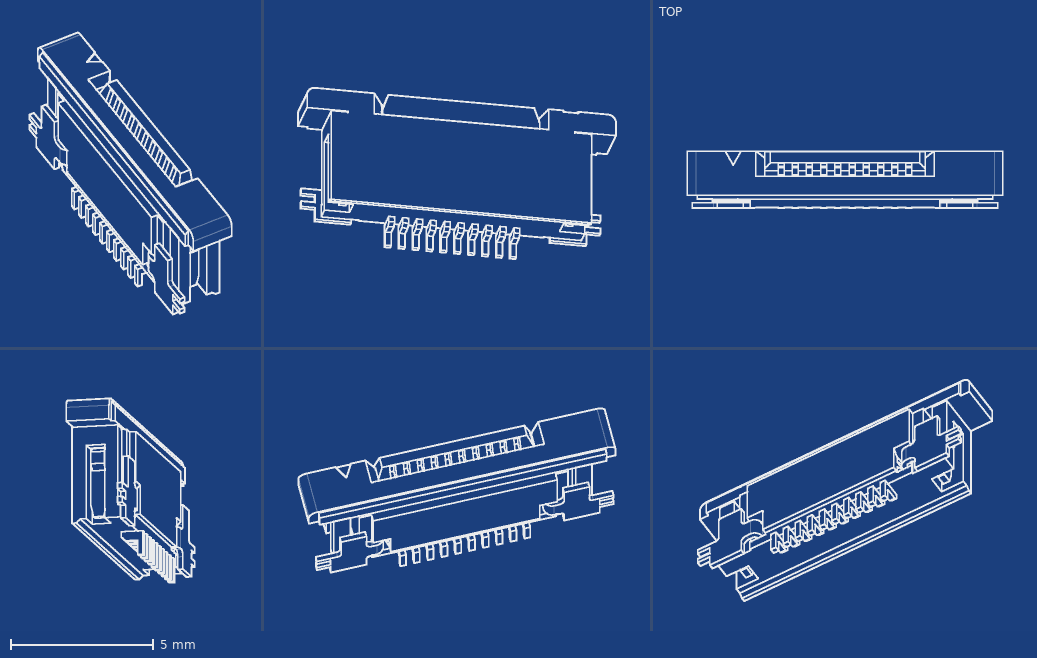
import cadquery as cq

LENGTH = 11.1
DEPTH = 2
HEIGHT = 5

BAR_BOTTOM = 4.2
BAR_FRONT = 0.44
BAR_END_RADIUS = 0.3
LIP_HALF_LENGTH = 5.2
LIP_FRONT = 0.31
LIP_TOP = 4.9
LIP_CHAMFER = BAR_FRONT - LIP_FRONT

MOUTH_HALF_LENGTH = 3.13
MOUTH_FRONT = 1.11
MOUTH_FLOOR = BAR_BOTTOM
MOUTH_TAPER = 0.31
MOUTH_TAPER_DEPTH = 0.31
MOUTH_REAR_CORNER = 0.23
TONGUE_HALF_LENGTH = 2.62
TONGUE_FRONT = 1.59
TONGUE_BACK = 1.98
TONGUE_SLOPE = 0.28

MARK_X = -3.93
MARK_HALF_WIDTH = 0.28
MARK_LENGTH = 0.49
MARK_DEPTH = 0.05

HOUSING_HALF_LENGTH = 4.67
HOUSING_FRONT = 0.24
HOUSING_BOTTOM = 0.84
BACK_FOOT_BOTTOM = 0.71
BACK_FOOT_FLAT = 1.84
BACK_FOOT_START = 1.7
PILLAR_INNER = 4.07
PILLAR_FRONT = 0.34
PILLAR_BOTTOM = 1.3
PILLAR_GAP = 0.03
CORE_HALF_LENGTH = 3.77

PLATE_HALF_LENGTH = 3.33
PLATE_FRONT = 0.01
BAND_FRONT = 0.19
BAND_TOP = 1.35

SLOT_FRONT = 0.81
SLOT_BACK = 1.48
SLOT_TOP = 3.49
ARM_OUTER = 4.2
ARM_INNER = 3.94
ARM_FRONT = 0.87
ARM_BACK = 1.43
ARM_BOTTOM = 1.01
ARM_TAPER_TOP = 1.42
ARM_TAPER = 0.1
HOOK_FRONT = 0.91
HOOK_BACK = 1.39
HOOK_REACH = 0.17
HOOK_BOTTOM = 2.66
HOOK_BOTTOM_FLAT = 2.89
HOOK_TOP_FLAT = 3.31
HOOK_TOP = 3.46

POCKET_INNER = 2.7
POCKET_BOTTOM = 1.25
POCKET_TOP = 2.42
POCKET_DEPTH = 0.5
POCKET_SHALLOW = 0.25
POCKET_SLANT = 0.14
LEG_END = 1
LEG_SLOT_BOTTOM = 1.63
LEG_SLOT_TOP = 1.9

METAL = 0.19
TAB_OUTER = 4.87
TAB_UPPER_OUTER = 4.5
TAB_INNER = 3.57
TAB_BOTTOM = 0.75
TAB_TOP = 3.06
PRONG_TIP = 5.37
PRONG_WIDTH = 0.21
PRONG_LOWER = 1.21
PRONG_UPPER = 1.71
PRONG_FILLET = 0.13
WEB_BOTTOM = 1.42
WEB_TOP = 2.15
WEB_FILLET = 0.21
LEG_INNER = 2.9
LEG_BEND_RADIUS = 0.31

CONTACTS = 10
PITCH = 0.5
TAIL_WIDTH = 0.21
TAIL_SHOULDER = 0.51
TAIL_BACK = 0.78
TAIL_CHAMFER = 0.13
CONTACT_SLOT_WIDTH = 0.21
CONTACT_SLOT_FRONT = 1.17
CONTACT_SLOT_BACK = 1.83
CONTACT_SLOT_ROOF = 4.95
CONTACT_SLOT_FLOOR = 3.55
TIP_FRONT = 1.41
TIP_STEP = 1.48
TIP_TOP = 4
TIP_STEP_HEIGHT = 0.05

contact_places = [(i - (CONTACTS - 1) / 2) * PITCH for i in range(CONTACTS)]


def block(x0, x1, y0, y1, z0, z1):
    """Box between two opposite corners."""
    return cq.Workplane("XY").box(x1 - x0, y1 - y0, z1 - z0, centered=False).translate((x0, y0, z0))


def extrude_along_x(points, x0, x1):
    """Extrude a (Y, Z) outline from x0 to x1."""
    return cq.Workplane("YZ").polyline(points).close().extrude(x1 - x0).translate((x0, 0, 0))


def extrude_along_y(points, y0, y1):
    """Extrude an (X, Z) outline from y0 to y1."""
    return cq.Workplane("XZ").polyline(points).close().extrude(y0 - y1).translate((0, y0, 0))


def extrude_along_z(points, z0, z1):
    """Extrude an (X, Y) outline from z0 to z1."""
    return cq.Workplane("XY").polyline(points).close().extrude(z1 - z0).translate((0, 0, z0))


def on_both_ends(shape):
    """Join a shape of the -X end with its mirror image at the +X end."""
    return shape.union(shape.mirror("YZ"))


def make_bar():
    half = LENGTH / 2
    bar = block(-half, half, BAR_FRONT, DEPTH, BAR_BOTTOM, HEIGHT)
    bar = bar.edges("|Y and >Z").fillet(BAR_END_RADIUS)
    lip = [
        (BAR_FRONT, BAR_BOTTOM),
        (LIP_FRONT, BAR_BOTTOM),
        (LIP_FRONT, LIP_TOP - LIP_CHAMFER),
        (BAR_FRONT, LIP_TOP),
    ]
    bar = bar.union(extrude_along_x(lip, -LIP_HALF_LENGTH, LIP_HALF_LENGTH))
    mark = [
        (MARK_X - MARK_HALF_WIDTH, DEPTH),
        (MARK_X + MARK_HALF_WIDTH, DEPTH),
        (MARK_X, DEPTH - MARK_LENGTH),
    ]
    return bar.cut(extrude_along_z(mark, HEIGHT - MARK_DEPTH, HEIGHT))


def make_mouth():
    """Opening with ramped ends, open at the back where its corners are cut away."""
    throat = MOUTH_HALF_LENGTH - MOUTH_TAPER
    ramp_bottom = HEIGHT - MOUTH_TAPER_DEPTH
    outline = [
        (-MOUTH_HALF_LENGTH, HEIGHT),
        (-throat, ramp_bottom),
        (-throat, MOUTH_FLOOR),
        (throat, MOUTH_FLOOR),
        (throat, ramp_bottom),
        (MOUTH_HALF_LENGTH, HEIGHT),
    ]
    corner = [
        (-MOUTH_HALF_LENGTH, DEPTH),
        (-throat, DEPTH - MOUTH_REAR_CORNER),
        (-throat, DEPTH),
    ]
    mouth = extrude_along_y(outline, MOUTH_FRONT, DEPTH)
    return mouth.union(on_both_ends(extrude_along_z(corner, MOUTH_FLOOR, HEIGHT)))


def make_tongue():
    """Tongue behind the cable, with sloping front and ends."""
    foot_half = MOUTH_HALF_LENGTH - MOUTH_TAPER
    end_drop = (foot_half - TONGUE_HALF_LENGTH) * (HEIGHT - MOUTH_FLOOR) / TONGUE_SLOPE
    across = [
        (TONGUE_FRONT - TONGUE_SLOPE, MOUTH_FLOOR),
        (TONGUE_BACK, MOUTH_FLOOR),
        (TONGUE_BACK, HEIGHT),
        (TONGUE_FRONT, HEIGHT),
    ]
    along = [
        (-foot_half, MOUTH_FLOOR),
        (foot_half, MOUTH_FLOOR),
        (foot_half, HEIGHT - end_drop),
        (TONGUE_HALF_LENGTH, HEIGHT),
        (-TONGUE_HALF_LENGTH, HEIGHT),
        (-foot_half, HEIGHT - end_drop),
    ]
    tongue = extrude_along_x(across, -foot_half, foot_half)
    return tongue.intersect(extrude_along_y(along, 0, DEPTH))


def make_contact_slots():
    """Slots running back under the top of the tongue; stepped contact tips form their floors."""
    outline = [
        (CONTACT_SLOT_FRONT, CONTACT_SLOT_ROOF),
        (CONTACT_SLOT_FRONT, CONTACT_SLOT_FLOOR),
        (TIP_FRONT, TIP_TOP),
        (TIP_STEP, TIP_TOP),
        (TIP_STEP, TIP_TOP - TIP_STEP_HEIGHT),
        (CONTACT_SLOT_BACK, TIP_TOP - TIP_STEP_HEIGHT),
        (CONTACT_SLOT_BACK, CONTACT_SLOT_ROOF),
    ]
    slots = cq.Workplane("XY")
    for x in contact_places:
        slots = slots.union(
            extrude_along_x(outline, x - CONTACT_SLOT_WIDTH / 2, x + CONTACT_SLOT_WIDTH / 2)
        )
    return slots


def make_housing():
    outline = [
        (HOUSING_FRONT, HOUSING_BOTTOM),
        (BACK_FOOT_START, HOUSING_BOTTOM),
        (BACK_FOOT_FLAT, BACK_FOOT_BOTTOM),
        (DEPTH, BACK_FOOT_BOTTOM),
        (DEPTH, BAR_BOTTOM),
        (HOUSING_FRONT, BAR_BOTTOM),
    ]
    housing = extrude_along_x(outline, -HOUSING_HALF_LENGTH, HOUSING_HALF_LENGTH)
    pillar_relief = block(
        -HOUSING_HALF_LENGTH, -PILLAR_INNER, HOUSING_FRONT, PILLAR_FRONT, PILLAR_BOTTOM, BAR_BOTTOM
    )
    top_gap = block(
        -HOUSING_HALF_LENGTH, -PILLAR_INNER, HOUSING_FRONT, DEPTH, BAR_BOTTOM - PILLAR_GAP, BAR_BOTTOM
    )
    front_groove = block(
        -PILLAR_INNER, -CORE_HALF_LENGTH, HOUSING_FRONT, SLOT_BACK, PILLAR_BOTTOM, BAR_BOTTOM
    )
    guide_slot = block(
        -HOUSING_HALF_LENGTH, -CORE_HALF_LENGTH, SLOT_FRONT, SLOT_BACK, HOUSING_BOTTOM, SLOT_TOP
    )
    relief = pillar_relief.union(top_gap).union(front_groove).union(guide_slot)
    return housing.cut(on_both_ends(relief))


def make_plate():
    """Front plate, set back along its foot."""
    outline = [
        (HOUSING_FRONT, HOUSING_BOTTOM),
        (BAND_FRONT, HOUSING_BOTTOM),
        (BAND_FRONT, BAND_TOP),
        (PLATE_FRONT, BAND_TOP),
        (PLATE_FRONT, BAR_BOTTOM),
        (HOUSING_FRONT, BAR_BOTTOM),
    ]
    return extrude_along_x(outline, -PLATE_HALF_LENGTH, PLATE_HALF_LENGTH)


def make_arm():
    """Actuator arm at the -X end: a tapered tip below and a latching hook outside."""
    outline = [
        (ARM_FRONT, BAR_BOTTOM),
        (ARM_FRONT, ARM_TAPER_TOP),
        (ARM_FRONT + ARM_TAPER, ARM_BOTTOM),
        (ARM_BACK - ARM_TAPER, ARM_BOTTOM),
        (ARM_BACK, ARM_TAPER_TOP),
        (ARM_BACK, BAR_BOTTOM),
    ]
    hook = [
        (-ARM_OUTER, HOOK_BOTTOM),
        (-ARM_OUTER - HOOK_REACH, HOOK_BOTTOM_FLAT),
        (-ARM_OUTER - HOOK_REACH, HOOK_TOP_FLAT),
        (-ARM_OUTER, HOOK_TOP),
    ]
    arm = extrude_along_x(outline, -ARM_OUTER, -ARM_INNER)
    return arm.union(extrude_along_y(hook, HOOK_FRONT, HOOK_BACK))


def make_pocket():
    """Pocket at the -X end: top and bottom tapered at 45 degrees, and a slot for the leg."""
    mouth = [
        (0, POCKET_BOTTOM),
        (BAND_FRONT, POCKET_BOTTOM),
        (POCKET_DEPTH, POCKET_BOTTOM + POCKET_DEPTH - BAND_FRONT),
        (POCKET_DEPTH, POCKET_TOP - POCKET_DEPTH),
        (0, POCKET_TOP),
    ]
    plan = [
        (-PLATE_HALF_LENGTH, 0),
        (-POCKET_INNER, 0),
        (-POCKET_INNER, POCKET_SHALLOW),
        (-POCKET_INNER - POCKET_SLANT, POCKET_DEPTH),
        (-PLATE_HALF_LENGTH, POCKET_DEPTH),
    ]
    pocket = extrude_along_x(mouth, -PLATE_HALF_LENGTH, -POCKET_INNER)
    pocket = pocket.intersect(extrude_along_z(plan, POCKET_BOTTOM, POCKET_TOP))
    leg_slot = block(
        -PLATE_HALF_LENGTH, -POCKET_INNER, HOUSING_FRONT, LEG_END, LEG_SLOT_BOTTOM, LEG_SLOT_TOP
    )
    return pocket.union(leg_slot)


def make_tab():
    """Solder tab at the -X end: flat plate, two prongs and a leg bent into the housing."""
    prong_top = PRONG_UPPER + PRONG_WIDTH
    web_end = -TAB_INNER + WEB_FILLET
    plate = (
        cq.Workplane("XZ")
        .moveTo(-TAB_OUTER, TAB_BOTTOM)
        .lineTo(-TAB_INNER, TAB_BOTTOM)
        .lineTo(-TAB_INNER, WEB_BOTTOM - WEB_FILLET)
        .radiusArc((web_end, WEB_BOTTOM), WEB_FILLET)
        .lineTo(web_end, WEB_TOP)
        .radiusArc((-TAB_INNER, WEB_TOP + WEB_FILLET), WEB_FILLET)
        .lineTo(-TAB_INNER, TAB_TOP)
        .lineTo(-TAB_UPPER_OUTER, TAB_TOP)
        .lineTo(-TAB_UPPER_OUTER, prong_top + PRONG_FILLET)
        .radiusArc((-TAB_UPPER_OUTER - PRONG_FILLET, prong_top), PRONG_FILLET)
        .lineTo(-TAB_OUTER, prong_top)
        .close()
        .extrude(-METAL)
    )
    bend_start = -LEG_INNER - LEG_BEND_RADIUS
    leg = (
        cq.Workplane("XY")
        .moveTo(web_end, 0)
        .lineTo(bend_start, 0)
        .radiusArc((-LEG_INNER, LEG_BEND_RADIUS), -LEG_BEND_RADIUS)
        .lineTo(-LEG_INNER, LEG_END)
        .lineTo(-LEG_INNER - METAL, LEG_END)
        .lineTo(-LEG_INNER - METAL, LEG_BEND_RADIUS)
        .radiusArc((bend_start, METAL), LEG_BEND_RADIUS - METAL)
        .lineTo(web_end, METAL)
        .close()
        .extrude(WEB_TOP - WEB_BOTTOM)
        .translate((0, 0, WEB_BOTTOM))
    )
    tab = plate.union(leg)
    for z in (PRONG_LOWER, PRONG_UPPER):
        tab = tab.union(block(-PRONG_TIP, -TAB_OUTER, 0, METAL, z, z + PRONG_WIDTH))
    return tab


def make_tails():
    """Solder tails below the housing, one for each contact."""
    outline = [
        (0, 0),
        (METAL, 0),
        (METAL, TAIL_SHOULDER),
        (TAIL_BACK - TAIL_CHAMFER, TAIL_SHOULDER),
        (TAIL_BACK, TAIL_SHOULDER + TAIL_CHAMFER),
        (TAIL_BACK, HOUSING_BOTTOM),
        (0, HOUSING_BOTTOM),
    ]
    tails = cq.Workplane("XY")
    for x in contact_places:
        tails = tails.union(extrude_along_x(outline, x - TAIL_WIDTH / 2, x + TAIL_WIDTH / 2))
    return tails


bar = make_bar().cut(make_mouth()).union(make_tongue())
body = make_housing().union(make_plate()).union(bar)
body = body.cut(make_contact_slots()).cut(on_both_ends(make_pocket()))
body = body.union(on_both_ends(make_arm())).union(on_both_ends(make_tab()))
result = body.union(make_tails())